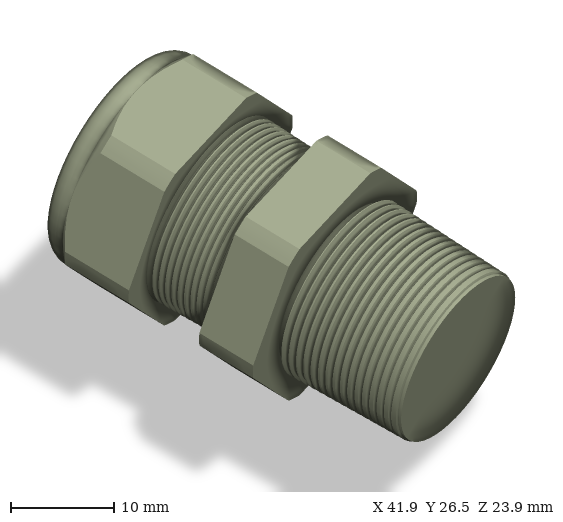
import cadquery as cq
import math


LENGTH = 41.9

ACROSS_FLATS = 23.9
CORNER_RADIUS = 13.25
HEX_START = 20.4
HEX_WIDTH = 6.55
HEX_END = HEX_START + HEX_WIDTH

NUT_LENGTH = 11.85
DOME_RADIUS = 11.9
DOME_FILLET = 2.0
DOME_LENGTH = 2.75
SHOULDER_LENGTH = CORNER_RADIUS - DOME_RADIUS

NOSE_RADIUS = 7.6
RECESS_RADIUS = 7.35
RECESS_DEPTH = 0.5

FLANK_ANGLE = 30.0
CREST_FLAT = 0.1
CREST_SLOPE = 1 / 32

NUT_THREAD_PITCH = 0.763
NUT_THREAD_COUNT = 12
NUT_THREAD_ROOT = 9.9
NUT_THREAD_CREST = 10.4

NECK_RADIUS = 9.05
NECK_END_RADIUS = 9.45
NECK_LENGTH = 0.9
ENTRY_THREAD_START = HEX_END + NECK_LENGTH
ENTRY_THREAD_FIRST = ENTRY_THREAD_START + CREST_FLAT / 2
ENTRY_THREAD_PITCH = 0.885
ENTRY_THREAD_COUNT = 16
ENTRY_THREAD_ROOT = 9.2
ENTRY_THREAD_CREST = 9.85


def cylinder(start, end, radius):
    """Solid cylinder along X."""
    return cq.Workplane("YZ").workplane(offset=start).circle(radius).extrude(end - start)


def turned(points):
    """Solid of revolution about X from (x, radius) points that run along its outside."""
    outline = [(points[0][0], 0), *points, (points[-1][0], 0)]
    return cq.Workplane("XY").polyline(outline).close().revolve(360, (0, 0, 0), (1, 0, 0))


def hexagon(start, end):
    """Hexagonal prism along X with corners rounded to CORNER_RADIUS."""
    across_corners = ACROSS_FLATS / math.cos(math.radians(30))
    prism = cq.Workplane("YZ").workplane(offset=start).polygon(6, across_corners).extrude(end - start)
    return prism.intersect(cylinder(start, end, CORNER_RADIUS))


def ridged_barrel(start, end, first_crest, pitch, count, root, crest):
    """Barrel from start to end with evenly spaced ridges; the end ridges may be cut short."""
    flank_slope = math.tan(math.radians(FLANK_ANGLE))
    half_root = (crest - root) * flank_slope + CREST_FLAT / 2
    outside = [(first_crest - pitch, root)]
    for index in range(count):
        middle = first_crest + index * pitch
        crest_radius = crest - index * pitch * CREST_SLOPE
        half_crest = half_root - (crest_radius - root) * flank_slope
        outside += [
            (middle - half_root, root),
            (middle - half_crest, crest_radius),
            (middle + half_crest, crest_radius),
            (middle + half_root, root),
        ]
    outside.append((first_crest + count * pitch, root))
    return turned(outside).intersect(cylinder(start, end, crest + pitch))


def make_cap_nut():
    dome = cylinder(0, DOME_LENGTH, DOME_RADIUS).faces("<X").edges().fillet(DOME_FILLET)
    shoulder_end = DOME_LENGTH + SHOULDER_LENGTH
    shoulder_envelope = turned([
        (DOME_LENGTH, DOME_RADIUS),
        (shoulder_end, CORNER_RADIUS),
        (NUT_LENGTH, CORNER_RADIUS),
    ])
    grip = hexagon(DOME_LENGTH, NUT_LENGTH).intersect(shoulder_envelope)
    return dome.union(grip).cut(cylinder(0, NUT_LENGTH, NOSE_RADIUS))


def make_neck():
    """Neck that leaves the hexagon parallel to the axis and curves outward to the thread."""
    rise = NECK_END_RADIUS - NECK_RADIUS
    curve_radius = (NECK_LENGTH**2 + rise**2) / (2 * rise)
    half_turn = math.asin(NECK_LENGTH / curve_radius) / 2
    curve_middle = (
        HEX_END + curve_radius * math.sin(half_turn),
        NECK_RADIUS + curve_radius * (1 - math.cos(half_turn)),
    )
    return (
        cq.Workplane("XY")
        .moveTo(HEX_END, 0)
        .lineTo(HEX_END, NECK_RADIUS)
        .threePointArc(curve_middle, (ENTRY_THREAD_START, NECK_END_RADIUS))
        .lineTo(ENTRY_THREAD_START, 0)
        .close()
        .revolve(360, (0, 0, 0), (1, 0, 0))
    )


def make_body():
    nose = cylinder(0, NUT_LENGTH, NOSE_RADIUS).cut(cylinder(0, RECESS_DEPTH, RECESS_RADIUS))
    nut_thread = ridged_barrel(
        NUT_LENGTH, HEX_START, NUT_LENGTH,
        NUT_THREAD_PITCH, NUT_THREAD_COUNT, NUT_THREAD_ROOT, NUT_THREAD_CREST,
    )
    entry_thread = ridged_barrel(
        ENTRY_THREAD_START, LENGTH, ENTRY_THREAD_FIRST,
        ENTRY_THREAD_PITCH, ENTRY_THREAD_COUNT, ENTRY_THREAD_ROOT, ENTRY_THREAD_CREST,
    )
    hex_collar = hexagon(HEX_START, HEX_END)
    return nose.union(nut_thread).union(hex_collar).union(make_neck()).union(entry_thread)


cap_nut = make_cap_nut()
body = make_body()

result = cq.Compound.makeCompound([cap_nut.val(), body.val()])